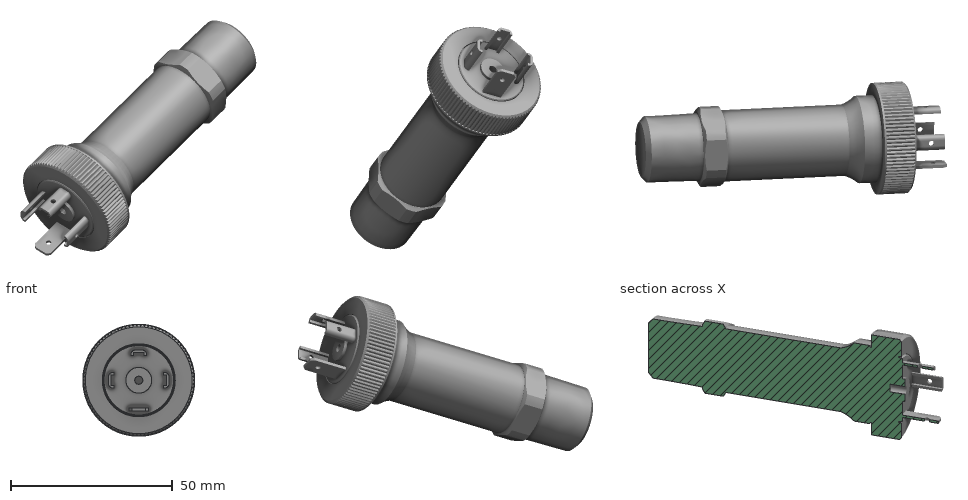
import cadquery as cq
import math


ring_diameter = 34.5
ring_length = 10.1
ring_chamfer = 0.8
rear_rim_length = 0.6
knurl_count = 90
knurl_depth = 0.43
knurl_width = 0.9

insert_diameter = 22
insert_face_diameter = 21.5
bore_diameter = 22.5
insert_height = 0.3
gap_depth = 1
boss_diameter = 8.0
boss_height = 1
boss_hole_diameter = 2.5
boss_hole_depth = 3.8

neck_diameter = 26.0
neck_length = 0.3
collar_diameter = 27.0
collar_end = 15.6
body_diameter = 22
body_start = 20.0
flare_bow = 0.3
hex_length = 7.7
hex_end = 65.8
hex_across_flats = 23
hex_corner_diameter = 24.9
hex_chamfer_radial = 1.3
hex_chamfer_angle = 30
tail_end = 83.6
tail_base_diameter = 21.0
tail_tip_diameter = 20.5
tail_chamfer_length = 1.5
tail_chamfer_radial = 1.7

contact_hole_diameter = 1.6
clip_length = 10.35
clip_width = 4.9
clip_depth = 1.7
clip_wall = 0.9
clip_corner_radius = 1.5
clip_back_offset = 9.4
clip_hole_distance = 6.0
blade_length = 12.3
blade_width = 6.1
blade_thickness = 1
blade_offset = 9.0
blade_tip_chamfer = 1
blade_hole_distance = 8.3


def cylinder(diameter, start, end):
    """Solid cylinder on the Y axis between two Y positions."""
    return cq.Workplane("XZ", origin=(0, start, 0)).circle(diameter / 2).extrude(start - end)


def make_ring():
    """Ring with V-grooves on its rim, a plain rear rim and a chamfered front edge."""
    tip_radius = ring_diameter / 2
    root_radius = tip_radius - knurl_depth
    pitch_angle = 2 * math.pi / knurl_count
    half_groove_angle = knurl_width / ring_diameter
    outline = []
    for index in range(knurl_count):
        groove_angle = index * pitch_angle
        for radius, offset in (
            (tip_radius, -half_groove_angle),
            (root_radius, 0),
            (tip_radius, half_groove_angle),
        ):
            angle = groove_angle + offset
            outline.append((radius * math.cos(angle), radius * math.sin(angle)))
    knurl_length = ring_length - rear_rim_length
    knurl = cq.Workplane("XZ", origin=(0, knurl_length, 0)).polyline(outline).close().extrude(knurl_length)
    envelope = (
        cylinder(ring_diameter + 2 * knurl_depth, 0, knurl_length)
        .faces("<Y")
        .chamfer(ring_chamfer + knurl_depth)
    )
    rear_rim = cylinder(ring_diameter, knurl_length, ring_length)
    return knurl.intersect(envelope).union(rear_rim)


def make_body():
    """Neck, collar, bowed flare, cylinder and tapered tail as one turned shape."""
    neck_radius = neck_diameter / 2
    collar_radius = collar_diameter / 2
    body_radius = body_diameter / 2
    tail_base_radius = tail_base_diameter / 2
    tail_tip_radius = tail_tip_diameter / 2
    hex_middle = hex_end - hex_length / 2
    flare_length = body_start - collar_end
    flare_rise = collar_radius - body_radius
    flare_chord = math.hypot(flare_length, flare_rise)
    flare_middle = (
        (collar_radius + body_radius) / 2 - flare_bow * flare_length / flare_chord,
        (collar_end + body_start) / 2 - flare_bow * flare_rise / flare_chord,
    )
    return (
        cq.Workplane("XY")
        .moveTo(0, ring_length)
        .lineTo(neck_radius, ring_length)
        .lineTo(neck_radius, ring_length + neck_length)
        .lineTo(collar_radius, ring_length + neck_length)
        .lineTo(collar_radius, collar_end)
        .threePointArc(flare_middle, (body_radius, body_start))
        .lineTo(body_radius, hex_middle)
        .lineTo(tail_base_radius, hex_middle)
        .lineTo(tail_base_radius, hex_end)
        .lineTo(tail_tip_radius, tail_end - tail_chamfer_length)
        .lineTo(tail_tip_radius - tail_chamfer_radial, tail_end)
        .lineTo(0, tail_end)
        .close()
        .revolve(360, (0, 0, 0), (0, 1, 0))
    )


def make_hex():
    """Hexagon with flats facing +X and -X, round corners and coned ends."""
    across_corners = hex_across_flats / math.cos(math.pi / 6)
    prism = (
        cq.Workplane("XZ", origin=(0, hex_end, 0))
        .transformed(rotate=(0, 0, 30))
        .polygon(6, across_corners)
        .extrude(hex_length)
    )
    chamfer_axial = hex_chamfer_radial * math.tan(math.radians(hex_chamfer_angle))
    envelope = (
        cylinder(hex_corner_diameter, hex_end - hex_length, hex_end)
        .faces("<Y")
        .chamfer(chamfer_axial, hex_chamfer_radial)
        .faces(">Y")
        .chamfer(chamfer_axial, hex_chamfer_radial)
    )
    return prism.intersect(envelope)


def make_clip():
    """Channel-shaped contact above the axis, open towards the axis."""
    channel_height = clip_depth - clip_wall
    open_side = clip_back_offset - clip_depth
    outside = (
        cq.Workplane("XY")
        .box(clip_width, clip_length, clip_depth, centered=(True, False, False))
        .edges("|Y and >Z")
        .fillet(clip_corner_radius)
    )
    channel = cq.Workplane("XY").box(
        clip_width - 2 * clip_wall, clip_length, channel_height, centered=(True, False, False)
    )
    hole = (
        cq.Workplane("XY", origin=(0, clip_length - clip_hole_distance, 0))
        .circle(contact_hole_diameter / 2)
        .extrude(clip_depth)
    )
    return outside.cut(channel).cut(hole).translate((0, -clip_length, open_side))


def make_blade():
    blade = (
        cq.Workplane("XY", origin=(0, -blade_length, -blade_offset))
        .box(blade_width, blade_length, blade_thickness, centered=(True, False, True))
        .edges("|Z and <Y")
        .chamfer(blade_tip_chamfer)
    )
    hole = (
        cq.Workplane("XY", origin=(0, -blade_hole_distance, -blade_offset - blade_thickness))
        .circle(contact_hole_diameter / 2)
        .extrude(2 * blade_thickness)
    )
    return blade.cut(hole)


housing = make_ring().union(make_body()).union(make_hex())

insert_chamfer = (insert_diameter - insert_face_diameter) / 2
insert = cylinder(insert_diameter, -insert_height, gap_depth).faces("<Y").chamfer(insert_chamfer)
boss = cylinder(boss_diameter, -insert_height - boss_height, 0)
boss_hole = cylinder(boss_hole_diameter, -insert_height - boss_height, boss_hole_depth)
housing = housing.cut(cylinder(bore_diameter, 0, gap_depth)).union(insert).union(boss).cut(boss_hole)

for angle in (-90, 0, 90):
    housing = housing.union(make_clip().rotate((0, 0, 0), (0, 1, 0), angle))

result = housing.union(make_blade())